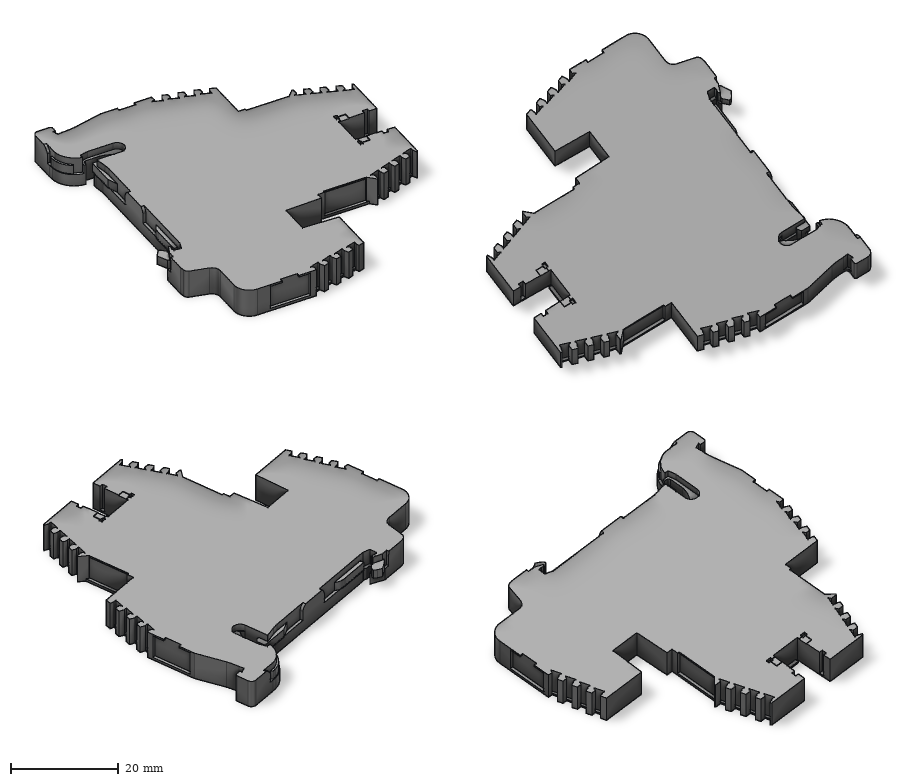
import cadquery as cq


LENGTH = 64.0
HEIGHT = 60.0
THICK = 6.0

RAIL_Z = 2.6
HOOK_Z = 4.55
LIP_Z = 0.415
LABEL_Z0 = 0.6
LABEL_Z1 = 5.65

TOWER_CX = 27.9
TOWER_HALF = 15.25
TOWER_LEFT = TOWER_CX - TOWER_HALF

WING_TOP = 36.95
WING_LEFT = 0.85
WING_CX = (WING_LEFT + LENGTH) / 2

SLOT_MOUTH = 6.85
SLOT_FLOOR = 6.4
TOWER_SLOT_Y = 51.7
LEDGE_Y = TOWER_SLOT_Y + 0.7
WING_SLOT_CX = 47.9
WING_SLOT_Y = 29.25

GAP_COUNT = 4
TOWER_PITCH = (-1.0, -2.9)
TOWER_GAP = (16.45, 59.3)
WING_PITCH = (-0.8, -3.0)
WING_GAP = (4.5, 35.5)
GAP_DROP = (-0.4, -1.4)
TOWER_TOOTH = 1.15
WING_TOOTH = 0.95
TOOTH_FACE = (-0.4, -1.1)
GROOVE_W = 0.65
GROOVE_DROP = (-0.7, -2.05)
TOOTH_TIP = 1.1
TOOTH_TIP_Y = 49.05

RAIL_Y = 6.2
RIB_Y = 6.0
RECESS_Y = 6.85
FOOT_TOP = 4.05
FOOT_NECK_X = 2.5
FOOT_WALL = 0.6
RIGHT_FOOT_Y = 3.15
RIGHT_RIB_END = 43.35
NOTCH_X = 45.0
UNDER_Y = 9.15
CORNER_R = 3.2

SPRING_LEFT = 10.2
SPRING_RIGHT = 13.3
SPRING_TOP = 13.05
SPRING_R = (SPRING_RIGHT - SPRING_LEFT) / 2
SPRING_WALL = 12.9
HOOK_X = 12.1
HOOK_TOP_Y = 7.9
HOOK_ROOT_Y = 8.4
NOSE_Y = 5.9
FOOT_STEP_Y = 4.35

FOOT_OUTER = ((7.5, 0.05), (10.5, 1.5), (11.9, 4.8))
FOOT_INNER = ((7.5, FOOT_WALL), (10.0, 1.85), (11.4, FOOT_STEP_Y))
FOOT_BUMP = ((7.5, 0.2), (9.5, 0.9), (11.0, 2.55))
FOOT_BEND_X = 6.45
FOOT_CORNER_R = 1.1
TOE_R = 0.45
NECK_R = 0.85


def shift(point, step, count=1):
    return (point[0] + count * step[0], point[1] + count * step[1])


def mirrored(points, center_x):
    """Points reflected across x = center_x."""
    return [(2 * center_x - x, y) for x, y in points]


def prism(points, z0, z1):
    return cq.Workplane("XY").workplane(offset=z0).polyline(points).close().extrude(z1 - z0)


def box(x0, x1, y0, y1, z0, z1):
    return cq.Workplane("XY").box(x1 - x0, y1 - y0, z1 - z0, centered=False).translate((x0, y0, z0))


def gap_points(first_gap, pitch, tooth_top):
    """Left-flank outline from the first gap down to the foot of the last gap."""
    points = []
    for i in range(GAP_COUNT):
        top = shift(first_gap, pitch, i)
        bottom = shift(top, GAP_DROP)
        points += [top, bottom]
        if i < GAP_COUNT - 1:
            corner = shift(bottom, (-tooth_top, 0))
            points += [corner, shift(corner, TOOTH_FACE)]
    return points


def tower_flank():
    """Left flank of the tower from its top edge down to the shoulder."""
    tip_x = TOWER_LEFT - TOOTH_TIP
    return (
        [(15.7, HEIGHT), (15.5, HEIGHT - 0.25)]
        + gap_points(TOWER_GAP, TOWER_PITCH, TOWER_TOOTH)
        + [(tip_x + 0.1, TOOTH_TIP_Y + 0.2), (tip_x, TOOTH_TIP_Y)]
        + [(TOWER_LEFT, TOOTH_TIP_Y - TOOTH_TIP), (TOWER_LEFT, WING_TOP)]
    )


def wing_flank():
    """Left flank of the left wing from its top edge down to the side wall."""
    return (
        [(4.1, WING_TOP), (3.7, 35.7)]
        + gap_points(WING_GAP, WING_PITCH, WING_TOOTH)
        + [(WING_LEFT, 25.0)]
    )


def slot_points(center_x, top_y, floor_y):
    """Tapered wire slot, left to right."""
    mouth = SLOT_MOUTH / 2
    floor = SLOT_FLOOR / 2
    return [
        (center_x - mouth, top_y),
        (center_x - floor, floor_y),
        (center_x + floor, floor_y),
        (center_x + mouth, top_y),
    ]


def body():
    """Full-thickness plate with the outline of its lowest layer."""
    left_side = tower_flank() + wing_flank()
    right_tower = mirrored(tower_flank(), TOWER_CX)
    right_wing = mirrored(wing_flank(), WING_CX)
    top_edge = (
        list(reversed(left_side))
        + slot_points(TOWER_CX, HEIGHT, TOWER_SLOT_Y)
        + right_tower
        + slot_points(WING_SLOT_CX, WING_TOP, WING_SLOT_Y)
        + right_wing
    )
    outline = cq.Workplane("XY").polyline(top_edge)
    outline = (
        outline.lineTo(LENGTH, UNDER_Y + CORNER_R)
        .radiusArc((LENGTH - CORNER_R, UNDER_Y), CORNER_R)
        .lineTo(55.65, UNDER_Y)
        .threePointArc((54.4, 8.8), (53.8, 7.8))
        .lineTo(52.8, 4.0)
        .threePointArc((52.5, 3.5), (51.9, 3.25))
        .lineTo(51.1, RIGHT_FOOT_Y)
        .lineTo(46.1, RIGHT_FOOT_Y)
        .lineTo(43.35, 4.6)
        .lineTo(44.2, 4.9)
        .lineTo(NOTCH_X, 4.7)
        .lineTo(NOTCH_X, 6.0)
        .lineTo(44.3, 6.0)
        .lineTo(43.7, 6.35)
        .lineTo(RIGHT_RIB_END, RAIL_Y)
    )
    outline = (
        outline.lineTo(15.75, RAIL_Y)
        .lineTo(13.7, NOSE_Y)
        .lineTo(13.05, NOSE_Y)
        .threePointArc((12.5, 6.3), (HOOK_X, 7.05))
        .lineTo(HOOK_X, HOOK_TOP_Y)
        .lineTo(SPRING_WALL, HOOK_ROOT_Y)
        .lineTo(SPRING_WALL, 11.65)
        .lineTo(12.55, 12.05)
        .threePointArc((11.35, 10.25), (10.8, 8.4))
        .lineTo(10.8, 5.3)
        .lineTo(11.1, FOOT_OUTER[2][1])
        .lineTo(*FOOT_OUTER[2])
    )
    outline = (
        outline.threePointArc(FOOT_OUTER[1], FOOT_OUTER[0])
        .lineTo(FOOT_BEND_X, 0)
        .lineTo(FOOT_CORNER_R, 0)
        .radiusArc((0, FOOT_CORNER_R), FOOT_CORNER_R)
        .lineTo(0, FOOT_TOP - TOE_R)
        .radiusArc((TOE_R, FOOT_TOP), TOE_R)
        .lineTo(FOOT_NECK_X - NECK_R, FOOT_TOP)
        .radiusArc((FOOT_NECK_X, FOOT_TOP + NECK_R), -NECK_R)
        .threePointArc((2.45, 6.35), (2.25, 7.75))
        .lineTo(WING_LEFT, 14.1)
        .close()
    )
    return outline.extrude(THICK)


def tooth_grooves():
    """Deeper grooves behind the tooth gaps, closed by a thin wall below."""
    grooves = cq.Workplane("XY")
    for gap, pitch, center_x in (
        (TOWER_GAP, TOWER_PITCH, TOWER_CX),
        (WING_GAP, WING_PITCH, WING_CX),
    ):
        for i in range(GAP_COUNT):
            top = shift(gap, pitch, i)
            inner = shift(top, (GROOVE_W, 0))
            points = [top, inner, shift(inner, GROOVE_DROP), shift(top, GAP_DROP)]
            grooves = grooves.add(prism(points, LIP_Z, THICK))
            grooves = grooves.add(prism(mirrored(points, center_x), LIP_Z, THICK))
    return grooves.combine()


def label_pockets():
    """Label pockets in the side walls, each with an opening through the top face."""
    depth = 0.65
    tower_notch = 0.415
    tower_y0 = 38.4
    tower_y1 = TOOTH_TIP_Y - TOOTH_TIP
    wing_y0, wing_y1 = 15.1, 23.75
    opening_y0, opening_y1 = 17.7, 21.25
    inner_x = TOWER_LEFT + tower_notch
    notch = [
        (TOWER_LEFT, tower_y0),
        (inner_x, tower_y0),
        (inner_x, tower_y1 - tower_notch),
        (TOWER_LEFT, tower_y1),
    ]
    pockets = cq.Workplane("XY")
    for points in (notch, mirrored(notch, TOWER_CX)):
        pockets = pockets.add(prism(points, LABEL_Z0, THICK))
    for wall_x, center_x, y0, y1, z1 in (
        (TOWER_LEFT, TOWER_CX, tower_y0, tower_y1 - tower_notch, LABEL_Z1),
        (WING_LEFT, WING_CX, wing_y0, wing_y1, LABEL_Z1),
        (WING_LEFT, WING_CX, opening_y0, opening_y1, THICK),
    ):
        corners = [(wall_x, y0), (wall_x + depth, y0), (wall_x + depth, y1), (wall_x, y1)]
        pockets = pockets.add(prism(corners, LABEL_Z0, z1))
        pockets = pockets.add(prism(mirrored(corners, center_x), LABEL_Z0, z1))
    return pockets.combine()


def tower_slot_details():
    """Wall grooves, shallow seats and corner pockets around the tower wire slot."""
    groove_y = 57.3
    seat_y = 52.1
    seat_depth = 0.1
    pocket_depth = 0.65
    half = SLOT_FLOOR / 2
    cuts = cq.Workplane("XY")
    for side in (-1, 1):
        for inner, outer, y0, y1, z0 in (
            (half, half + 0.9, groove_y, groove_y + 1.0, LIP_Z),
            (half, half + 1.5, seat_y, seat_y + 1.85, THICK - seat_depth),
            (half + 0.85, half + 1.9, TOWER_SLOT_Y, LEDGE_Y, THICK - pocket_depth),
        ):
            x0, x1 = sorted((TOWER_CX + side * inner, TOWER_CX + side * outer))
            cuts = cuts.add(box(x0, x1, y0, y1, z0, THICK))
    return cuts.combine()


def tower_slot_ledge():
    """Thin ledge along the floor of the tower wire slot."""
    half = SLOT_FLOOR / 2 - 0.4
    left, right = TOWER_CX - half, TOWER_CX + half
    return box(left, right, TOWER_SLOT_Y, LEDGE_Y, 0, LIP_Z)


def flared_window(x0, x1, left_flare, right_flare):
    """Recess window seen along Y, its vertical ends curving outward at the top face."""
    flare_z = 4.8
    y_reach = 12.8
    bulge = 0.3
    mid_z = (flare_z + THICK) / 2
    window = (
        cq.Workplane("XZ")
        .moveTo(x0, RAIL_Z)
        .lineTo(x1, RAIL_Z)
        .lineTo(x1, flare_z)
        .threePointArc((x1 + bulge * right_flare, mid_z), (x1 + right_flare, THICK))
        .lineTo(x0 - left_flare, THICK)
        .threePointArc((x0 - bulge * left_flare, mid_z), (x0, flare_z))
        .close()
    )
    return window.extrude(-y_reach)


def left_recess():
    """Recess around the left foot and along the left part of the rail edge."""
    foot = (
        cq.Workplane("XY")
        .workplane(offset=RAIL_Z)
        .moveTo(3.2, 0)
        .lineTo(12.8, 0)
        .lineTo(12.8, FOOT_STEP_Y)
        .lineTo(*FOOT_INNER[2])
        .threePointArc(FOOT_INNER[1], FOOT_INNER[0])
        .lineTo(3.2, FOOT_WALL)
        .close()
        .extrude(THICK - RAIL_Z)
    )
    rail_points = [
        (11.85, 5.1),
        (26.9, 5.1),
        (26.9, RECESS_Y),
        (16.95, RECESS_Y),
        (15.75, RECESS_Y - 0.1),
        (13.7, 6.35),
        (11.85, 6.35),
    ]
    plan = foot.union(prism(rail_points, RAIL_Z, THICK))
    return plan.intersect(flared_window(5.65, 24.3, 1.4, 0.9))


def right_recess():
    """Recess along the right part of the rail edge and over the right hook."""
    notch_back = 45.65
    plan = prism(
        [(28.8, 5.1), (28.8, RECESS_Y), (44.2, RECESS_Y), (notch_back, 6.35), (notch_back, 5.1)],
        RAIL_Z,
        THICK,
    )
    plan = plan.union(box(NOTCH_X, notch_back, 4.75, 6.35, RAIL_Z, THICK))
    nose = [(42.25, 4.5), (44.05, 4.5), (46.0, 3.65), (47.7, 3.65), (47.7, 2.9), (42.25, 2.9)]
    tip = [(42.25, 4.5), (44.05, 4.5), (44.5, 4.85), (42.9, 5.1)]
    plan = plan.union(prism(nose, RAIL_Z, THICK)).union(prism(tip, RAIL_Z, THICK))
    return plan.intersect(flared_window(31.1, 47.25, 0.7, 0.05))


def spring_slot():
    """Rounded slot in the top layer behind the left foot, its inner wall cut down to the rail layer."""
    slot_y = SPRING_TOP - SPRING_R
    slot = (
        cq.Workplane("XY")
        .workplane(offset=HOOK_Z)
        .moveTo(SPRING_LEFT, slot_y)
        .threePointArc(((SPRING_LEFT + SPRING_RIGHT) / 2, SPRING_TOP), (SPRING_RIGHT, slot_y))
        .lineTo(SPRING_RIGHT, FOOT_STEP_Y)
        .lineTo(10.55, FOOT_STEP_Y)
        .lineTo(SPRING_LEFT, 6.0)
        .close()
        .extrude(THICK - HOOK_Z)
    )
    wall_step = [
        (SPRING_WALL, HOOK_ROOT_Y),
        (SPRING_RIGHT, HOOK_ROOT_Y),
        (SPRING_RIGHT, slot_y),
        (12.55, 12.6),
        (12.55, 11.85),
        (SPRING_WALL, 11.5),
    ]
    return slot.union(prism(wall_step, RAIL_Z, HOOK_Z))


def neck_relief():
    """Sharp relief in the inside corner above the left foot."""
    relief_z = 0.9
    return prism([(1.5, 3.5), (2.6, 4.0), (FOOT_NECK_X, 4.9), (1.5, 4.5)], relief_z, THICK)


def hook_layer():
    """Hooks, rail ribs and foot bump that fill the middle of the recesses."""
    rib_height = HOOK_Z - RAIL_Z
    left_rib = prism(
        [
            (HOOK_X, RIB_Y),
            (18.05, RIB_Y),
            (20.2, RECESS_Y),
            (SPRING_WALL, RECESS_Y),
            (SPRING_WALL, HOOK_ROOT_Y),
            (HOOK_X, HOOK_TOP_Y),
        ],
        RAIL_Z,
        HOOK_Z,
    )
    right_rib = (
        cq.Workplane("XY")
        .workplane(offset=RAIL_Z)
        .moveTo(37.3, RIB_Y)
        .threePointArc((36.1, 6.2), (35.15, RECESS_Y))
        .lineTo(RIGHT_RIB_END, RECESS_Y)
        .lineTo(RIGHT_RIB_END, RIB_Y)
        .close()
        .extrude(rib_height)
    )
    right_hook = prism(
        [
            (46.4, 3.65),
            (46.0, RIGHT_FOOT_Y),
            (43.9, 2.1),
            (43.1, 2.6),
            (42.5, 3.15),
            (42.5, 3.5),
            (43.55, 4.5),
            (44.05, 4.5),
        ],
        RAIL_Z,
        HOOK_Z,
    )
    foot_bump = (
        cq.Workplane("XY")
        .workplane(offset=RAIL_Z)
        .moveTo(FOOT_BEND_X, FOOT_WALL)
        .threePointArc((6.6, 0.25), (6.9, 0.1))
        .lineTo(*FOOT_BUMP[0])
        .threePointArc(FOOT_BUMP[1], FOOT_BUMP[2])
        .lineTo(10.55, 2.9)
        .lineTo(FOOT_INNER[0][0], 0.9)
        .close()
        .extrude(rib_height)
    )
    return left_rib.union(right_rib).union(right_hook).union(foot_bump)


result = body()
for cut in (
    tooth_grooves(),
    label_pockets(),
    tower_slot_details(),
    left_recess(),
    right_recess(),
    spring_slot(),
    neck_relief(),
):
    result = result.cut(cut)
result = result.union(tower_slot_ledge()).union(hook_layer())